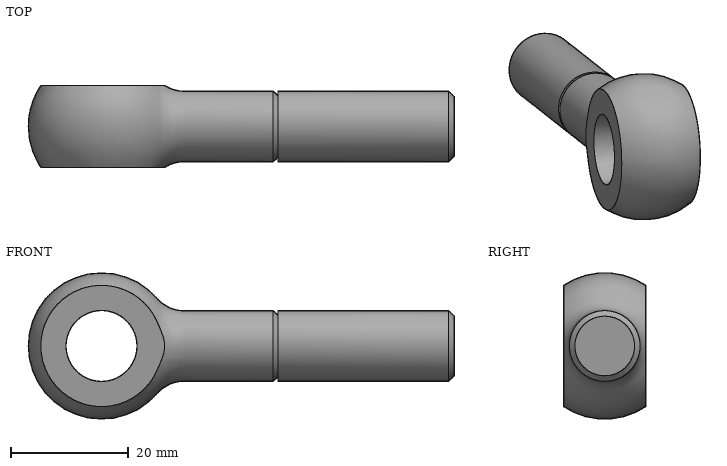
import cadquery as cq
import math

overall_length = 72.45
eye_radius = 12.45
eye_width = 14.0
bore_diameter = 12.0
shank_radius = 6.0
neck_fillet_radius = 6.0
groove_end = 30.0
groove_depth = 0.7
groove_width = 0.8
tip_chamfer = 0.95

shank_end = overall_length - eye_radius
tip_radius = shank_radius - tip_chamfer
groove_start = groove_end - groove_width
groove_radius = shank_radius - groove_depth

fillet_center_radius = shank_radius + neck_fillet_radius
center_distance = eye_radius + neck_fillet_radius
fillet_end = math.sqrt(center_distance**2 - fillet_center_radius**2)
neck_angle = math.atan2(fillet_center_radius, fillet_end)


def point_on_circle(center_x, center_r, radius, angle):
    return (center_x + radius * math.cos(angle), center_r + radius * math.sin(angle))


def turned_body():
    """Ball, neck and shank revolved about the X axis."""
    ball_mid = point_on_circle(0, 0, eye_radius, (math.pi + neck_angle) / 2)
    ball_end = point_on_circle(0, 0, eye_radius, neck_angle)
    fillet_mid_angle = (neck_angle - math.pi - math.pi / 2) / 2
    fillet_mid = point_on_circle(
        fillet_end, fillet_center_radius, neck_fillet_radius, fillet_mid_angle
    )
    return (
        cq.Workplane("XY")
        .moveTo(-eye_radius, 0)
        .threePointArc(ball_mid, ball_end)
        .threePointArc(fillet_mid, (fillet_end, shank_radius))
        .lineTo(groove_start, shank_radius)
        .lineTo(groove_end, groove_radius)
        .lineTo(groove_end, shank_radius)
        .lineTo(shank_end - tip_chamfer, shank_radius)
        .lineTo(shank_end, tip_radius)
        .lineTo(shank_end, 0)
        .close()
        .revolve(360, (0, 0, 0), (1, 0, 0))
    )


def flat_faces():
    """Slab that trims the ball to the eye width."""
    return cq.Workplane("XY").box(3 * overall_length, eye_width, 3 * eye_radius)


def eye_bore():
    return cq.Workplane("XZ").circle(bore_diameter / 2).extrude(eye_width, both=True)


result = turned_body().intersect(flat_faces()).cut(eye_bore())